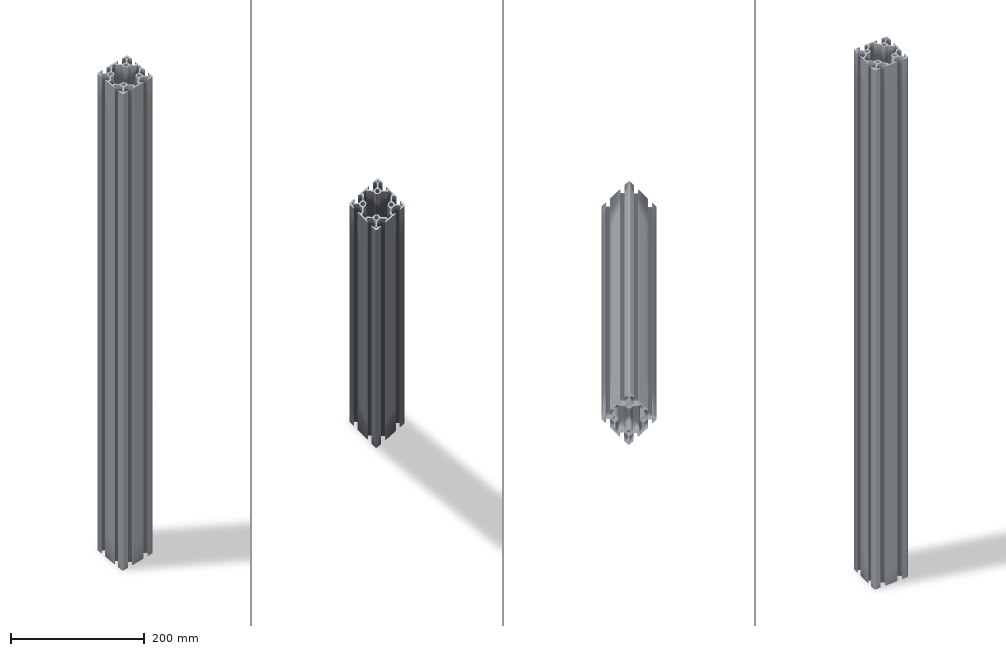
import cadquery as cq
import math

length = 1000.0
side = 60.0
corner_radius = 3.0
half_side = side / 2
cell_centre = side / 4

mouth_half_width = 4.5
chamber_half_width = 8.3
floor_half_width = 3.7
slot_depth = 9.9
lip_edge_thickness = 1.2
lip_root_thickness = 2.1

core_half_width = 5.1
core_chamfer = 3.0
screw_channel_diameter = 6.6

corner_channel_diameter = 3.0
corner_channel_inset = 4.2

outer_wall = 2.0
rib_thickness = 3.0
web_thickness = 2.0


def t_slot():
    """T-slot on the Y axis in the +Y side: mouth, wider chamber, then 45 degree flanks to a flat floor."""
    floor_y = half_side - slot_depth
    flank_top_y = floor_y + chamber_half_width - floor_half_width
    right_half = [
        (mouth_half_width, half_side),
        (mouth_half_width, half_side - lip_edge_thickness),
        (chamber_half_width, half_side - lip_root_thickness),
        (chamber_half_width, flank_top_y),
        (floor_half_width, floor_y),
    ]
    left_half = [(-x, y) for x, y in reversed(right_half)]
    return cq.Workplane("XY").polyline(right_half + left_half).close().extrude(length)


def central_cavity():
    """Cross-shaped cavity: an arm towards the middle of every side, with the cores in between."""
    arm_end = half_side - outer_wall
    arm_half_width = cell_centre - chamber_half_width - rib_thickness
    core_edge = cell_centre - core_half_width

    flank_sum = (cell_centre - floor_half_width) + (half_side - slot_depth)
    web_sum = flank_sum - web_thickness * math.sqrt(2)

    quarter = [
        (arm_end, arm_half_width),
        (web_sum - arm_half_width, arm_half_width),
        (web_sum - core_edge, core_edge),
        (core_edge + core_chamfer, core_edge),
    ]
    quarter += [(y, x) for x, y in reversed(quarter)]

    outline = []
    for _ in range(4):
        outline += quarter
        quarter = [(-y, x) for x, y in quarter]
    return cq.Workplane("XY").polyline(outline).close().extrude(length)


def channels(axis_offset, diameter):
    """Four round full-length channels, one on each diagonal of the section."""
    return (
        cq.Workplane("XY")
        .rect(2 * axis_offset, 2 * axis_offset, forConstruction=True)
        .vertices()
        .circle(diameter / 2)
        .extrude(length)
    )


profile = cq.Workplane("XY").rect(side, side).extrude(length).edges("|Z").fillet(corner_radius)

for quarter_turn in range(4):
    for offset in (-cell_centre, cell_centre):
        slot = t_slot().translate((offset, 0, 0))
        profile = profile.cut(slot.rotate((0, 0, 0), (0, 0, 1), 90 * quarter_turn))

profile = profile.cut(central_cavity())
profile = profile.cut(channels(cell_centre, screw_channel_diameter))
result = profile.cut(channels(half_side - corner_channel_inset, corner_channel_diameter))